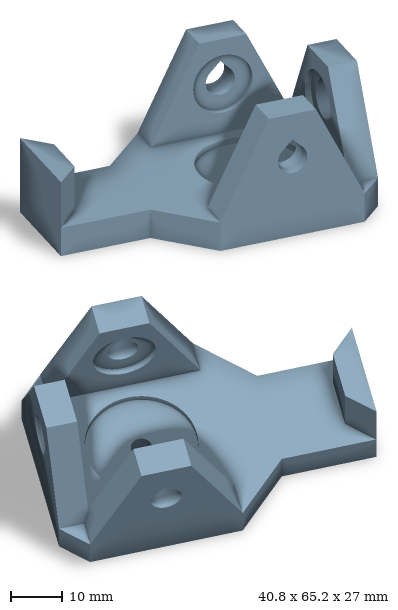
import cadquery as cq
import math

length = 65.2
width = 40.75
height = 27.0
base_thickness = 6.25
corner_cut = 5.0
wall_top_width = 10.05
side_wall_thickness = 6.5
rear_wall_thickness = 6.2
hole_height = 17.1
side_hole_diameter = 6.2
rear_hole_diameter = 8.1
wall_recess_diameter = 12.65
wall_recess_depth = 1.3
base_recess_diameter = 22.25
base_recess_depth = 1.3
base_hole_diameter = 4.2
tail_width = 19.95
stop_width = 20.2
stop_back_width = 10.05
stop_height = 16.4

half_width = width / 2
rear_y = half_width
front_y = rear_y - length
wall_half_width = half_width - corner_cut
tail_half_width = tail_width / 2
stop_depth = (stop_width - stop_back_width) / 2
neck_y = -wall_half_width - (half_width - tail_half_width)


def make_base():
    """Plate with cut rear corners and 45-degree shoulders to the tail."""
    right_outline = [
        (wall_half_width, rear_y),
        (half_width, wall_half_width),
        (half_width, -wall_half_width),
        (tail_half_width, neck_y),
        (tail_half_width, front_y),
    ]
    left_outline = [(-x, y) for x, y in reversed(right_outline)]
    return cq.Workplane("XY").polyline(right_outline + left_outline).close().extrude(base_thickness)


def make_stop():
    """Upright stop at the tail end, narrowing toward its back."""
    outline = [
        (-stop_width / 2, front_y),
        (stop_width / 2, front_y),
        (stop_back_width / 2, front_y + stop_depth),
        (-stop_back_width / 2, front_y + stop_depth),
    ]
    stop = cq.Workplane("XY").workplane(offset=base_thickness).polyline(outline).close()
    return stop.extrude(stop_height - base_thickness)


def wall_plane(angle):
    """Plane on a wall's outer face, its normal pointing out; 0 is the rear wall."""
    turn = math.radians(angle)
    outward = (-math.sin(turn), math.cos(turn), 0)
    along = (-math.cos(turn), -math.sin(turn), 0)
    origin = (half_width * outward[0], half_width * outward[1], 0)
    return cq.Workplane(cq.Plane(origin=origin, xDir=along, normal=outward))


def make_wall(angle, thickness):
    """Tapered upright wall standing on one edge of the base."""
    outline = [
        (-wall_half_width, 0),
        (wall_half_width, 0),
        (wall_half_width, base_thickness),
        (wall_top_width / 2, height),
        (-wall_top_width / 2, height),
        (-wall_half_width, base_thickness),
    ]
    return wall_plane(angle).polyline(outline).close().extrude(-thickness)


def make_wall_cutter(angle, thickness, hole_diameter):
    """Teardrop through hole with a round recess on the inner face."""
    radius = hole_diameter / 2
    tangent = radius / math.sqrt(2)
    teardrop = (
        wall_plane(angle)
        .moveTo(-tangent, hole_height + tangent)
        .threePointArc((0, hole_height - radius), (tangent, hole_height + tangent))
        .lineTo(0, hole_height + radius * math.sqrt(2))
        .close()
        .extrude(-thickness)
    )
    recess = (
        wall_plane(angle)
        .workplane(offset=-thickness)
        .center(0, hole_height)
        .circle(wall_recess_diameter / 2)
        .extrude(wall_recess_depth)
    )
    return teardrop.union(recess)


walls = [
    (0, rear_wall_thickness, rear_hole_diameter),
    (90, side_wall_thickness, side_hole_diameter),
    (-90, side_wall_thickness, side_hole_diameter),
]

result = make_base().union(make_stop())
for wall_angle, wall_thickness, _ in walls:
    result = result.union(make_wall(wall_angle, wall_thickness))
for wall_angle, wall_thickness, wall_hole in walls:
    result = result.cut(make_wall_cutter(wall_angle, wall_thickness, wall_hole))

base_recess = cq.Workplane("XY").workplane(offset=base_thickness - base_recess_depth)
result = result.cut(base_recess.circle(base_recess_diameter / 2).extrude(base_recess_depth))
base_hole = cq.Workplane("XY").circle(base_hole_diameter / 2).extrude(base_thickness)
result = result.cut(base_hole)